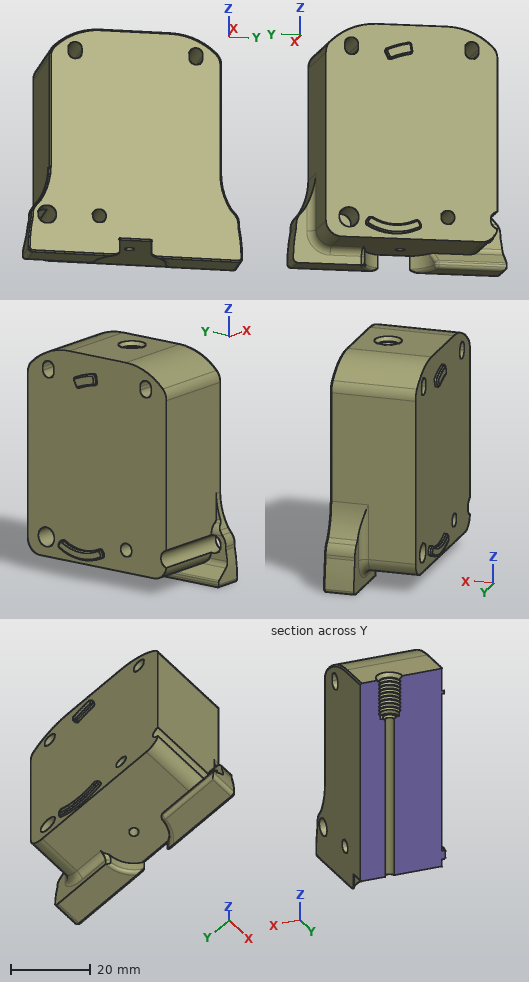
import cadquery as cq
import math


BODY_DEPTH = 22.7
BODY_HEIGHT = 55.0
BODY_HALF_WIDTH = 22.1
BOTTOM_CORNER_RADIUS = 4.0
TOP_FLAT_HALF_WIDTH = 9.0
SHOULDER_RADIUS = 17.0
SHOULDER_CORNER_RADIUS = 4.0
BACK_CHAMFER = 0.4

FOOT_BOTTOM_Z = -4.3
FOOT_HALF_WIDTH = 27.51
FOOT_CORNER_RADIUS = 1.1
FOOT_SIDE_RADIUS = 44.0
FOOT_SIDE_TOP_Z = 4.9
FLARE_RADIUS = 17.0
FLARE_TOP_Z = 18.5
FLARE_BOTTOM_Z = 9.64
FOOT_FRONT_X = 14.6
FOOT_EDGE_ROUND = 1.0
GAP_FRONT_ROUND = 1.0
FOOT_TO_BODY_FILLET = 2.0

THIN_FRONT_X = 20.6
LUG_FRONT_X = 18.6
LUG_ROUND_RADIUS = 3.0
LUG_ROUND_BOTTOM_Z = 8.34
LUG_ROUND_SWEEP = math.radians(62)
LUG_TOP_FILLET = 0.9
RAMP_TOP_Z = 1.0
RAMP_ANGLE = math.radians(40)
RAMP_TOP_FILLET = 2.0
RAMP_BOTTOM_ROUND = 0.6

SIDE_HOLE_DIAMETER = 4.7
SIDE_HOLE_Y = -22.7
SIDE_HOLE_Z = 5.7
SIDE_LUG_RADIUS = 4.0
SIDE_LUG_SWEEP = math.radians(46)

SLOT_WIDTH = 3.5
SLOT_HEIGHT = 4.4
SLOT_Y = 15.5
SLOT_Z = 49.1
PIN_HOLE_DIAMETER = 3.5
PIN_HOLE_Y = -9.3
PIN_HOLE_Z = 5.94
BLIND_HOLE_DIAMETER = 5.04
BLIND_HOLE_Y = 16.15
BLIND_HOLE_Z = 5.1
BLIND_HOLE_DEPTH = 10.0

PORT_X = 14.5
PORT_ENTRY_DIAMETER = 7.0
THREAD_MINOR_DIAMETER = 5.04
THREAD_MAJOR_DIAMETER = 6.0
THREAD_PITCH = 1.0
THREAD_TURNS = 9
PORT_DEPTH = 11.0
PASSAGE_ENTRY_DIAMETER = 3.5
PASSAGE_DIAMETER = 2.4
GAP_RADIUS = 9.0
GAP_TOP_Z = 4.0
GAP_EDGE_CHAMFER = 0.95

PAD_HEIGHT = 1.0
PAD_CHAMFER = 0.4
UPPER_PAD_MIDDLE = (3.36, 48.3)
UPPER_PAD_RADIUS = 24.0
UPPER_PAD_WIDTH = 2.95
UPPER_PAD_DIRECTION = 73.0
UPPER_PAD_HALF_SWEEP = 8.1
UPPER_PAD_CORNER_RADIUS = 0.7
LOWER_PAD_CENTER = (4.35, 15.4)
LOWER_PAD_RADIUS = 13.0
LOWER_PAD_WIDTH = 2.4
LOWER_PAD_DIRECTION = 272.0
LOWER_PAD_HALF_SWEEP = 31.5
LOWER_PAD_CORNER_RADIUS = 0.8

PICK_MARGIN = 0.1


def on_circle(center, radius, angle):
    """Point on a circle, with the angle in radians."""
    return (center[0] + radius * math.cos(angle), center[1] + radius * math.sin(angle))


def mirrored_pair(half):
    """Join a half solid with its mirror image in the Y = 0 plane."""
    return half.union(half.mirror("XZ"))


def x_prism(sketch, start_x, end_x):
    """Extrude a closed YZ sketch from start_x to end_x."""
    return sketch.extrude(end_x - start_x).translate((start_x, 0, 0))


def make_body():
    shoulder = (TOP_FLAT_HALF_WIDTH, BODY_HEIGHT - SHOULDER_RADIUS)
    corner_y = BODY_HALF_WIDTH - SHOULDER_CORNER_RADIUS
    center_gap = SHOULDER_RADIUS - SHOULDER_CORNER_RADIUS
    tangent_angle = math.acos((corner_y - shoulder[0]) / center_gap)
    corner = on_circle(shoulder, center_gap, tangent_angle)
    bottom_y = BODY_HALF_WIDTH - BOTTOM_CORNER_RADIUS
    bottom_center = (bottom_y, BOTTOM_CORNER_RADIUS)
    half = (
        cq.Workplane("YZ")
        .moveTo(0, 0)
        .lineTo(bottom_y, 0)
        .threePointArc(
            on_circle(bottom_center, BOTTOM_CORNER_RADIUS, -math.pi / 4),
            (BODY_HALF_WIDTH, BOTTOM_CORNER_RADIUS),
        )
        .lineTo(BODY_HALF_WIDTH, corner[1])
        .threePointArc(
            on_circle(corner, SHOULDER_CORNER_RADIUS, tangent_angle / 2),
            on_circle(corner, SHOULDER_CORNER_RADIUS, tangent_angle),
        )
        .threePointArc(
            on_circle(shoulder, SHOULDER_RADIUS, (tangent_angle + math.pi / 2) / 2),
            (TOP_FLAT_HALF_WIDTH, BODY_HEIGHT),
        )
        .lineTo(0, BODY_HEIGHT)
        .close()
    )
    return mirrored_pair(x_prism(half, 0, BODY_DEPTH))


def foot_outline():
    """YZ outline of the +Y foot, from the mid line out to the flared side."""
    corner_y = FOOT_HALF_WIDTH - FOOT_CORNER_RADIUS
    corner_z = FOOT_BOTTOM_Z + FOOT_CORNER_RADIUS
    lug = (-SIDE_HOLE_Y, SIDE_HOLE_Z)
    lug_side_y = lug[0] + SIDE_LUG_RADIUS
    flare = (BODY_HALF_WIDTH + FLARE_RADIUS, FLARE_TOP_Z)
    flare_end = math.pi + math.asin((FLARE_TOP_Z - FLARE_BOTTOM_Z) / FLARE_RADIUS)
    return (
        cq.Workplane("YZ")
        .moveTo(0, FOOT_BOTTOM_Z)
        .lineTo(corner_y, FOOT_BOTTOM_Z)
        .threePointArc(
            on_circle((corner_y, corner_z), FOOT_CORNER_RADIUS, -math.pi / 4),
            (FOOT_HALF_WIDTH, corner_z),
        )
        .radiusArc((lug_side_y, FOOT_SIDE_TOP_Z), -FOOT_SIDE_RADIUS)
        .lineTo(lug_side_y, lug[1])
        .threePointArc(
            on_circle(lug, SIDE_LUG_RADIUS, SIDE_LUG_SWEEP / 2),
            on_circle(lug, SIDE_LUG_RADIUS, SIDE_LUG_SWEEP),
        )
        .lineTo(*on_circle(flare, FLARE_RADIUS, flare_end))
        .threePointArc(
            on_circle(flare, FLARE_RADIUS, (flare_end + math.pi) / 2),
            (BODY_HALF_WIDTH, FLARE_TOP_Z),
        )
        .lineTo(0, FLARE_TOP_Z)
        .close()
    )


def gap_bore():
    """Clearance bore on the axis of the port, through the lower part of a foot.

    The housing closes it above Z = 0.
    """
    return (
        cq.Workplane("XY")
        .center(PORT_X, 0)
        .circle(GAP_RADIUS)
        .extrude(GAP_TOP_Z - FOOT_BOTTOM_Z)
        .translate((0, 0, FOOT_BOTTOM_Z))
    )


def gap_bottom_edge():
    """Selector for the lower rim of the clearance bore in a foot."""
    size = GAP_RADIUS + PICK_MARGIN
    return cq.selectors.BoxSelector(
        (FOOT_FRONT_X + PICK_MARGIN, -size, FOOT_BOTTOM_Z - PICK_MARGIN),
        (BODY_DEPTH - PICK_MARGIN, size, FOOT_BOTTOM_Z + PICK_MARGIN),
    )


def gap_front_edges():
    """Selector for the whole bore edge on the front and bottom of the -Y foot."""
    return cq.selectors.BoxSelector(
        (FOOT_FRONT_X - PICK_MARGIN, -GAP_RADIUS - PICK_MARGIN, FOOT_BOTTOM_Z - PICK_MARGIN),
        (BODY_DEPTH - PICK_MARGIN, 0, 0),
    )


def body_fillet_strip():
    """Concave strip that blends the +Y foot into the side and corner of the housing."""
    r = FOOT_TO_BODY_FILLET
    bend_y = BODY_HALF_WIDTH - BOTTOM_CORNER_RADIUS
    path = (
        cq.Workplane("YZ", origin=(FOOT_FRONT_X, 0, 0))
        .moveTo(BODY_HALF_WIDTH, FLARE_TOP_Z)
        .lineTo(BODY_HALF_WIDTH, BOTTOM_CORNER_RADIUS)
        .threePointArc(
            on_circle((bend_y, BOTTOM_CORNER_RADIUS), BOTTOM_CORNER_RADIUS, -math.pi / 4),
            (bend_y, 0),
        )
        .lineTo(0, 0)
    )
    profile = (
        cq.Workplane("XY", origin=(FOOT_FRONT_X, BODY_HALF_WIDTH, FLARE_TOP_Z))
        .lineTo(-r, 0)
        .threePointArc(on_circle((-r, r), r, -math.pi / 4), (0, r))
        .close()
    )
    strip = profile.sweep(path)
    return strip.intersect(x_prism(foot_outline(), FOOT_FRONT_X - r, BODY_DEPTH))


def make_plain_foot():
    """+Y foot: flat front, filleted to the housing, with a chamfer beside the bore."""
    foot = x_prism(foot_outline(), FOOT_FRONT_X, BODY_DEPTH).union(body_fillet_strip())
    foot = foot.cut(gap_bore())
    front_edges = cq.selectors.BoxSelector(
        (FOOT_FRONT_X - FOOT_TO_BODY_FILLET, GAP_RADIUS / 2, FOOT_BOTTOM_Z + PICK_MARGIN),
        (FOOT_FRONT_X + PICK_MARGIN, GAP_RADIUS + PICK_MARGIN, 0),
    )
    foot = foot.edges(front_edges).chamfer(GAP_EDGE_CHAMFER)
    return foot.edges(gap_bottom_edge()).fillet(FOOT_EDGE_ROUND)


def make_stepped_foot():
    """-Y foot: thin at the top, a thicker lug round the side hole, a ramp and a deep toe."""
    lug_round = (LUG_FRONT_X + LUG_ROUND_RADIUS, LUG_ROUND_BOTTOM_Z)
    round_end = math.pi - LUG_ROUND_SWEEP
    ledge_x, ledge_z = on_circle(lug_round, LUG_ROUND_RADIUS, round_end)
    blend_z = ledge_z + LUG_TOP_FILLET * math.sin(LUG_ROUND_SWEEP)
    blend = (THIN_FRONT_X - LUG_TOP_FILLET, blend_z)
    ramp_bottom_z = RAMP_TOP_Z - (LUG_FRONT_X - FOOT_FRONT_X) * math.tan(RAMP_ANGLE)
    profile = (
        cq.Workplane("XZ")
        .moveTo(BODY_DEPTH, FOOT_BOTTOM_Z)
        .lineTo(FOOT_FRONT_X, FOOT_BOTTOM_Z)
        .lineTo(FOOT_FRONT_X, ramp_bottom_z)
        .lineTo(LUG_FRONT_X, RAMP_TOP_Z)
        .lineTo(LUG_FRONT_X, LUG_ROUND_BOTTOM_Z)
        .threePointArc(
            on_circle(lug_round, LUG_ROUND_RADIUS, (math.pi + round_end) / 2),
            (ledge_x, ledge_z),
        )
        .threePointArc(
            on_circle(blend, LUG_TOP_FILLET, -LUG_ROUND_SWEEP / 2),
            (THIN_FRONT_X, blend_z),
        )
        .lineTo(THIN_FRONT_X, FLARE_TOP_Z)
        .lineTo(BODY_DEPTH, FLARE_TOP_Z)
        .close()
        .extrude(2 * FOOT_HALF_WIDTH)
    )
    rounded_edges = (
        ((LUG_FRONT_X, RAMP_TOP_Z), RAMP_TOP_FILLET),
        ((FOOT_FRONT_X, ramp_bottom_z), RAMP_BOTTOM_ROUND),
        ((FOOT_FRONT_X, FOOT_BOTTOM_Z), FOOT_EDGE_ROUND),
    )
    for (edge_x, edge_z), radius in rounded_edges:
        nearest = cq.selectors.NearestToPointSelector((edge_x, -FOOT_HALF_WIDTH, edge_z))
        profile = profile.edges(nearest).fillet(radius)
    outline = x_prism(foot_outline(), 0, BODY_DEPTH).mirror("XZ")
    foot = profile.intersect(outline).cut(gap_bore())
    return foot.edges(gap_front_edges()).fillet(GAP_FRONT_ROUND)


def front_hole(diameter, y, z, depth):
    """Round cutter entering the front face."""
    return cq.Workplane("YZ").center(y, z).circle(diameter / 2).extrude(depth)


def mounting_slot(y):
    return (
        cq.Workplane("YZ")
        .center(y, SLOT_Z)
        .slot2D(SLOT_HEIGHT, SLOT_WIDTH, 90)
        .extrude(BODY_DEPTH)
    )


def port_cutter():
    """Countersunk port with ring-shaped thread grooves and a narrow passage below it."""
    minor = THREAD_MINOR_DIAMETER / 2
    groove = (THREAD_MAJOR_DIAMETER - THREAD_MINOR_DIAMETER) / 2
    entry = PORT_ENTRY_DIAMETER / 2
    passage = PASSAGE_DIAMETER / 2
    passage_entry = PASSAGE_ENTRY_DIAMETER / 2
    floor_z = BODY_HEIGHT - PORT_DEPTH
    profile = (
        cq.Workplane("XZ")
        .moveTo(0, BODY_HEIGHT)
        .lineTo(entry, BODY_HEIGHT)
        .lineTo(minor, BODY_HEIGHT - (entry - minor))
    )
    for turn in range(THREAD_TURNS):
        crest_z = BODY_HEIGHT - (entry - minor) - turn * THREAD_PITCH
        profile = profile.lineTo(minor + groove, crest_z - THREAD_PITCH / 2)
        profile = profile.lineTo(minor, crest_z - THREAD_PITCH)
    profile = (
        profile.lineTo(minor, floor_z)
        .lineTo(passage_entry, floor_z)
        .lineTo(passage, floor_z - (passage_entry - passage))
        .lineTo(passage, 0)
        .lineTo(0, 0)
        .close()
    )
    return profile.revolve(360, (0, 0), (0, 1)).translate((PORT_X, 0, 0))


def arc_pad(center, mean_radius, width, direction, half_sweep, corner_radius):
    """Raised pad in the shape of a ring sector; its angles are in degrees from +Y to +Z."""
    inner = mean_radius - width / 2
    outer = mean_radius + width / 2
    mid = math.radians(direction)
    start = mid - math.radians(half_sweep)
    end = mid + math.radians(half_sweep)
    pad = (
        cq.Workplane("YZ")
        .moveTo(*on_circle(center, inner, start))
        .lineTo(*on_circle(center, outer, start))
        .threePointArc(on_circle(center, outer, mid), on_circle(center, outer, end))
        .lineTo(*on_circle(center, inner, end))
        .threePointArc(on_circle(center, inner, mid), on_circle(center, inner, start))
        .close()
        .extrude(-PAD_HEIGHT)
    )
    return pad.edges("|X").fillet(corner_radius).faces("<X").chamfer(PAD_CHAMFER)


def make_upper_pad():
    direction = math.radians(UPPER_PAD_DIRECTION)
    center = on_circle(UPPER_PAD_MIDDLE, -UPPER_PAD_RADIUS, direction)
    return arc_pad(
        center,
        UPPER_PAD_RADIUS,
        UPPER_PAD_WIDTH,
        UPPER_PAD_DIRECTION,
        UPPER_PAD_HALF_SWEEP,
        UPPER_PAD_CORNER_RADIUS,
    )


def make_lower_pad():
    return arc_pad(
        LOWER_PAD_CENTER,
        LOWER_PAD_RADIUS,
        LOWER_PAD_WIDTH,
        LOWER_PAD_DIRECTION,
        LOWER_PAD_HALF_SWEEP,
        LOWER_PAD_CORNER_RADIUS,
    )


result = make_body().faces(">X").chamfer(BACK_CHAMFER)
for foot in (make_plain_foot(), make_stepped_foot()):
    result = result.union(foot.faces(">X").chamfer(BACK_CHAMFER))

for slot_y in (-SLOT_Y, SLOT_Y):
    result = result.cut(mounting_slot(slot_y))
result = result.cut(front_hole(SIDE_HOLE_DIAMETER, SIDE_HOLE_Y, SIDE_HOLE_Z, BODY_DEPTH))
result = result.cut(front_hole(PIN_HOLE_DIAMETER, PIN_HOLE_Y, PIN_HOLE_Z, BODY_DEPTH))
result = result.cut(
    front_hole(BLIND_HOLE_DIAMETER, BLIND_HOLE_Y, BLIND_HOLE_Z, BLIND_HOLE_DEPTH)
)
result = result.cut(port_cutter())

result = result.union(make_upper_pad()).union(make_lower_pad())